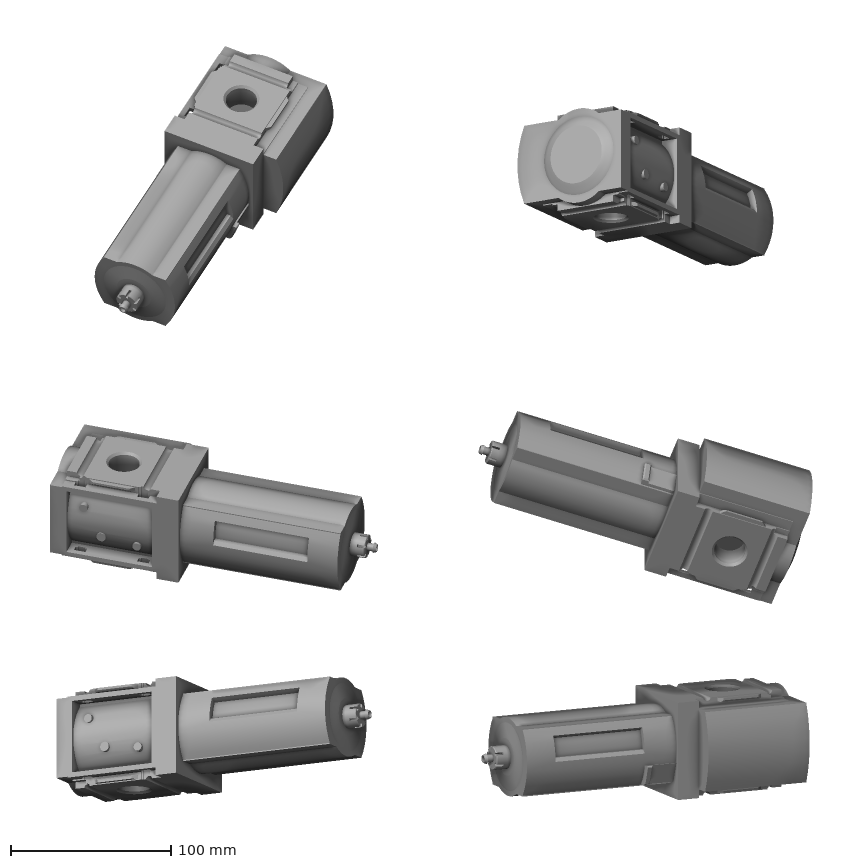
import cadquery as cq
import math


block_half = 31.0
block_back = 76.5
plate_back = 84.4
cover_half_z = 25.4
cover_front = 14.3
cover_edge_x = 40.0
cover_crown_x = 44.9
bulge_half_x = 14.8
bulge_top_z = 30.5
dome_base_radius = 25.4
dome_top_radius = 18.7
dome_height = 3.1
dome_bulge = 0.5

panel_half_x = 24.1
strip_z = 26.0
corner_notch_x = 20.4
corner_notch_front = 67.5
corner_notch_z = 26.8
groove_width = 5.2
groove_depth = 2.0
groove_centers_y = (23.0, 67.5)

pad_length = 30.0
pad_width = 2.7
pad_taper = 3.0
pad_bottom_z = 27.8
pad_top_z = 30.3
pad_undercut = 1.0

port_y = 45.5
port_diameter = 19.5
port_mouth_diameter = 22.5
port_depth = 16.6

pocket_front = 17.5
pocket_back = 73.4
pocket_half_z = 22.9
core_radius = 29.0
core_half_z = 21.0
pin_diameter = 5.5
pin_places = ((63.0, 11.0), (28.0, -10.8))
button_diameter = 6.0
button_place = (51.3, -8.3)
stud_face_x = 29.3

slot_centers_y = (24.5, 65.9)
slot_outer_x = 27.5
slot_shoulder_x = 23.7
slot_inner_x = 22.9
slot_length = 7.5
slot_inner_length = 4.8

bowl_length = 103.3
bowl_crown_x = 28.0
bowl_corner = 21.6
bowl_land = 0.6
bowl_rib_radius = 25.0
cone_radius = 21.6
cone_top_radius = 11.8
cone_height = 1.2
cone_rim_height = 0.2

window_front = 21.8
window_back = 83.5
window_height = 16.0
window_depth = 4.4
window_bevel_x = 26.2
window_bevel_height = 2.3

latch_start = 17.0
latch_length = 4.4
latch_outline = ((26.2, -8.0), (30.5, -8.0), (26.2, -20.5), (21.8, -20.5))
latch_bevel = 0.8
latch_strip_inset = 2.3

drain_diameter = 15.0
drain_end = 114.3
drain_slot_start = 109.3
drain_slot_count = 6
drain_slot_width = 1.7
drain_slot_floor_diameter = 10.0
drain_chamfer = 0.5
stem_diameter = 5.0
collar_diameter = 6.5
collar_start = 118.2
collar_width = 0.2
stem_tip_diameter = 5.0
stem_end = 120.3
stem_bore_diameter = 3.7
stem_bore_depth = 2.0


def box(x_range, y_range, z_range):
    """Block between the two given limits along each axis."""
    size = [high - low for low, high in (x_range, y_range, z_range)]
    low_corner = [limits[0] for limits in (x_range, y_range, z_range)]
    return cq.Workplane("XY").box(*size, centered=False).translate(tuple(low_corner))


def section_at(y):
    """Workplane across the axis with local axes X and Z; extrude(+d) runs towards -Y."""
    return cq.Workplane("XZ", origin=(0, y, 0))


def with_mirror(shape, plane):
    """The shape joined with its mirror image."""
    return shape.union(shape.mirror(plane))


def cover():
    """Back plate and convex side cover, in one piece, with the low dome behind."""
    plate = box((-block_half, block_half), (block_back, plate_back), (-cover_half_z, cover_half_z))
    side = (
        section_at(plate_back)
        .moveTo(block_half, -cover_half_z)
        .lineTo(cover_edge_x, -cover_half_z)
        .threePointArc((cover_crown_x, 0), (cover_edge_x, cover_half_z))
        .lineTo(block_half, cover_half_z)
        .close()
        .extrude(plate_back - cover_front)
    )
    bulge = (
        section_at(plate_back)
        .moveTo(-bulge_half_x, 0)
        .lineTo(-bulge_half_x, cover_half_z)
        .threePointArc((0, bulge_top_z), (bulge_half_x, cover_half_z))
        .lineTo(bulge_half_x, 0)
        .close()
        .extrude(plate_back - block_back)
    )
    mid_radius = (dome_base_radius + dome_top_radius) / 2 + dome_bulge
    dome = (
        cq.Workplane("XY")
        .moveTo(0, plate_back)
        .lineTo(dome_base_radius, plate_back)
        .threePointArc((mid_radius, plate_back + dome_height / 2), (dome_top_radius, plate_back + dome_height))
        .lineTo(0, plate_back + dome_height)
        .close()
        .revolve(360, (0, 0, 0), (0, 1, 0))
    )
    return plate.union(side).union(with_mirror(bulge, "XY")).union(dome)


def top_recesses():
    """Everything cut away around the upper port panel: strips, corner notches and grooves."""
    strip_y = (cover_front, block_back)
    notch_y = (corner_notch_front, block_back)
    strip = box((panel_half_x, block_half), strip_y, (strip_z, block_half))
    notch = box((corner_notch_x, panel_half_x), notch_y, (corner_notch_z, block_half))
    recesses = with_mirror(strip.union(notch), "YZ")
    for center_y in groove_centers_y:
        groove = (
            cq.Workplane("YZ", origin=(-panel_half_x, 0, 0))
            .moveTo(center_y - groove_width / 2, block_half)
            .threePointArc((center_y, block_half - groove_depth), (center_y + groove_width / 2, block_half))
            .close()
            .extrude(2 * panel_half_x)
        )
        recesses = recesses.union(groove)
    return recesses


def top_pads():
    """Tapered pads that stick out from both sides of the upper panel."""
    pad = (
        cq.Workplane("XY", origin=(panel_half_x, port_y, pad_bottom_z))
        .moveTo(0, -pad_length / 2)
        .lineTo(pad_width, -pad_length / 2 + pad_taper)
        .lineTo(pad_width, pad_length / 2 - pad_taper)
        .lineTo(0, pad_length / 2)
        .close()
        .extrude(pad_top_z - pad_bottom_z)
        .faces(">X")
        .edges("<Z")
        .chamfer(pad_undercut)
    )
    return with_mirror(pad, "YZ")


def top_port():
    """Blind port with a chamfered mouth."""
    chamfer = (port_mouth_diameter - port_diameter) / 2
    mouth = cq.Workplane("XY", origin=(0, port_y, block_half))
    bore = mouth.circle(port_diameter / 2).extrude(-port_depth)
    cone = mouth.circle(port_mouth_diameter / 2).workplane(offset=-chamfer).circle(port_diameter / 2).loft()
    return bore.union(cone)


def top_slots():
    """Stepped slots that open the upper recessed strip into the side pocket."""
    slots = cq.Workplane("XY")
    for center_y in slot_centers_y:
        outer_y = (center_y - slot_length / 2, center_y + slot_length / 2)
        inner_y = (center_y - slot_inner_length / 2, center_y + slot_inner_length / 2)
        slots = slots.union(box((-slot_outer_x, -slot_shoulder_x), outer_y, (core_half_z, block_half)))
        slots = slots.union(box((-slot_shoulder_x, -slot_inner_x), inner_y, (core_half_z, block_half)))
    return slots


def core_edge_x():
    """Distance in X at which the visible part of the core ends, which is also the pocket floor."""
    return math.sqrt(core_radius**2 - core_half_z**2)


def side_pocket():
    """Pocket in the -X side that leaves the round core standing."""
    pocket_y = (pocket_front, pocket_back)
    pocket = box((-block_half, -core_edge_x()), pocket_y, (-pocket_half_z, pocket_half_z))
    core = section_at(pocket_back).circle(core_radius).extrude(pocket_back - pocket_front)
    return pocket.cut(core)


def side_stud(place, diameter):
    """Round stud that stands on the core towards -X."""
    y, z = place
    return (
        cq.Workplane("YZ", origin=(-stud_face_x, y, z))
        .circle(diameter / 2)
        .extrude(stud_face_x - core_edge_x())
    )


def make_housing():
    body = box((-block_half, block_half), (0, block_back), (-block_half, block_half))
    body = body.cut(with_mirror(top_recesses(), "XY"))
    body = body.union(with_mirror(top_pads(), "XY"))
    body = body.cut(with_mirror(top_port(), "XY"))
    body = body.cut(side_pocket())
    body = body.cut(with_mirror(top_slots(), "XY"))
    for place in pin_places:
        body = body.union(side_stud(place, pin_diameter))
    body = body.union(side_stud(button_place, button_diameter))
    return body.union(cover())


def bowl_shell():
    """Long body with rounded sides, flat lands and a round rib on top and bottom."""
    arc_end = bowl_corner - bowl_land
    profile = (
        section_at(0)
        .moveTo(-bowl_corner, bowl_corner)
        .lineTo(bowl_corner, bowl_corner)
        .lineTo(bowl_corner, arc_end)
        .threePointArc((bowl_crown_x, 0), (bowl_corner, -arc_end))
        .lineTo(bowl_corner, -bowl_corner)
        .lineTo(-bowl_corner, -bowl_corner)
        .lineTo(-bowl_corner, -arc_end)
        .threePointArc((-bowl_crown_x, 0), (-bowl_corner, arc_end))
        .close()
        .extrude(bowl_length)
    )
    return profile.union(section_at(0).circle(bowl_rib_radius).extrude(bowl_length))


def window():
    """Recess in the +X side with sloped lips; its floor follows the rounded side."""
    arc_end = bowl_corner - bowl_land
    rise = bowl_crown_x - bowl_corner
    side_radius = (arc_end**2 + rise**2) / (2 * rise)
    side_center_x = bowl_crown_x - side_radius
    floor_radius = side_radius - window_depth

    lower_z = window_bevel_height
    upper_z = window_height - window_bevel_height
    opening_x = side_center_x + math.sqrt(side_radius**2 - window_height**2)
    upper_floor_x = side_center_x + math.sqrt(floor_radius**2 - upper_z**2)
    recess = (
        section_at(-window_front)
        .moveTo(upper_floor_x, lower_z)
        .lineTo(window_bevel_x, lower_z)
        .lineTo(bowl_crown_x, 0)
        .lineTo(bowl_crown_x, window_height)
        .lineTo(opening_x, window_height)
        .lineTo(upper_floor_x, upper_z)
        .close()
        .extrude(window_back - window_front)
    )
    core = section_at(0).center(side_center_x, 0).circle(floor_radius).extrude(bowl_length)
    return recess.cut(core)


def end_cone():
    """Low cone on the front end, flatter towards the drain."""
    cone_end = bowl_length + cone_height
    return (
        cq.Workplane("XY")
        .moveTo(0, -bowl_length)
        .lineTo(cone_radius, -bowl_length)
        .lineTo(cone_top_radius, -cone_end)
        .lineTo(drain_diameter / 2, -cone_end - cone_rim_height)
        .lineTo(0, -cone_end - cone_rim_height)
        .close()
        .revolve(360, (0, 0, 0), (0, 1, 0))
    )


def latch():
    """Slanted latch strip along the rounded side that ends in a higher, bevelled button."""
    strip_outline = [(x - latch_strip_inset, z) for x, z in latch_outline]
    strip = section_at(0).polyline(strip_outline).close().extrude(latch_start)
    upper_x, upper_z = latch_outline[1]
    lower_x, lower_z = latch_outline[2]
    outward = cq.Vector(upper_z - lower_z, 0, lower_x - upper_x)
    button = section_at(-latch_start).polyline(latch_outline).close().extrude(latch_length)
    button = button.faces(cq.DirectionMinMaxSelector(outward)).edges().chamfer(latch_bevel)
    return strip.union(button)


def drain():
    """Slotted drain with its collared stem."""
    sleeve = section_at(-bowl_length).circle(drain_diameter / 2).extrude(drain_end - bowl_length)
    sleeve = sleeve.faces("<Y").edges().chamfer(drain_chamfer)
    slot = box(
        (-drain_slot_width / 2, drain_slot_width / 2),
        (-drain_end, -drain_slot_start),
        (drain_slot_floor_diameter / 2, drain_diameter / 2),
    )
    for index in range(drain_slot_count):
        sleeve = sleeve.cut(slot.rotate((0, 0, 0), (0, 1, 0), index * 360 / drain_slot_count))
    stem = (
        cq.Workplane("XY")
        .moveTo(0, -drain_slot_start)
        .lineTo(stem_diameter / 2, -drain_slot_start)
        .lineTo(stem_diameter / 2, -collar_start)
        .lineTo(collar_diameter / 2, -collar_start)
        .lineTo(collar_diameter / 2, -collar_start - collar_width)
        .lineTo(stem_tip_diameter / 2, -stem_end)
        .lineTo(0, -stem_end)
        .close()
        .revolve(360, (0, 0, 0), (0, 1, 0))
    )
    bore = section_at(-stem_end).circle(stem_bore_diameter / 2).extrude(-stem_bore_depth)
    return sleeve.union(stem).cut(bore)


def make_bowl():
    body = bowl_shell()
    body = body.cut(with_mirror(window(), "YZ"))
    return body.union(end_cone()).union(latch()).union(drain())


housing = make_housing()
bowl = make_bowl()

result = cq.Compound.makeCompound([housing.solids().val(), bowl.solids().val()])